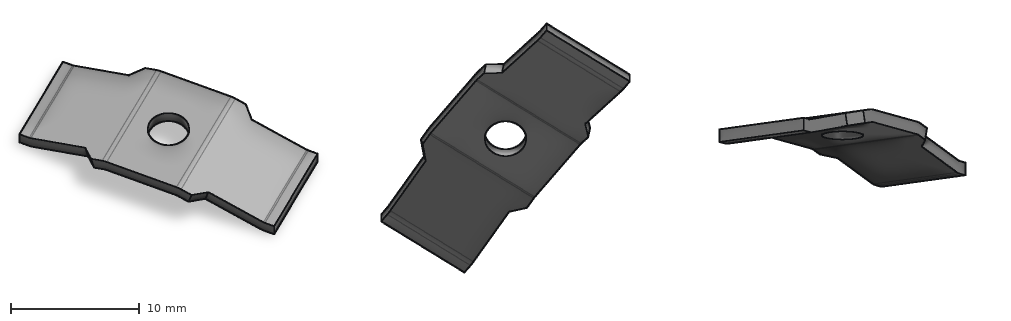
import cadquery as cq
import math

length = 21.78
width = 10.0
height = 2.83
thickness = 1.0

bend_angle = math.radians(15)
inner_radius = thickness / 2
outer_radius = inner_radius + thickness
crown_half_length = 2.98

side_step = 1.0
shoulder_offset = 0.95

hole_diameter = 3.2

bends_run = (inner_radius + outer_radius) * math.sin(bend_angle)
bends_drop = (inner_radius + outer_radius) * (1 - math.cos(bend_angle))
slope_drop = height - thickness - bends_drop
slope_run = slope_drop / math.tan(bend_angle)
slope_length = slope_drop / math.sin(bend_angle)
tab_start = crown_half_length + bends_run + slope_run


def arc_point(center, radius, angle):
    """Point on a bend, at an angle from the vertical toward +X."""
    return (center[0] + radius * math.sin(angle), center[1] + radius * math.cos(angle))


def half_strip():
    """The +X half of the bent strip, at full width."""
    upper_center = (crown_half_length, height - outer_radius)
    lower_center = (tab_start, outer_radius)
    half_bend = bend_angle / 2
    profile = (
        cq.Workplane("XZ")
        .moveTo(0, height)
        .lineTo(crown_half_length, height)
        .threePointArc(
            arc_point(upper_center, outer_radius, half_bend),
            arc_point(upper_center, outer_radius, bend_angle),
        )
        .lineTo(*arc_point(lower_center, -inner_radius, bend_angle))
        .threePointArc(arc_point(lower_center, -inner_radius, half_bend), (tab_start, thickness))
        .lineTo(length / 2, thickness)
        .lineTo(length / 2, 0)
        .lineTo(tab_start, 0)
        .threePointArc(
            arc_point(lower_center, -outer_radius, half_bend),
            arc_point(lower_center, -outer_radius, bend_angle),
        )
        .lineTo(*arc_point(upper_center, inner_radius, bend_angle))
        .threePointArc(
            arc_point(upper_center, inner_radius, half_bend),
            (crown_half_length, height - thickness),
        )
        .lineTo(0, height - thickness)
        .close()
    )
    return profile.extrude(width / 2, both=True)


def side_notch(side):
    """Material removed beside the narrowed end; side is +1 or -1 along Y."""
    slope_start = arc_point(
        (crown_half_length, height - outer_radius), outer_radius, bend_angle
    )
    slope_plane = cq.Plane(
        origin=(slope_start[0], 0, slope_start[1]),
        xDir=(math.cos(bend_angle), 0, -math.sin(bend_angle)),
        normal=(math.sin(bend_angle), 0, math.cos(bend_angle)),
    )
    edge = side * width / 2
    narrow_edge = side * (width / 2 - side_step)
    past_end = slope_length + length / 2
    return (
        cq.Workplane(slope_plane)
        .moveTo(shoulder_offset, edge)
        .lineTo(shoulder_offset + side_step, narrow_edge)
        .lineTo(past_end, narrow_edge)
        .lineTo(past_end, edge)
        .close()
        .extrude(length / 2, both=True)
    )


half = half_strip()
for side in (1, -1):
    half = half.cut(side_notch(side))

hole = cq.Workplane("XY").circle(hole_diameter / 2).extrude(height)
result = half.union(half.mirror("YZ")).clean().cut(hole)